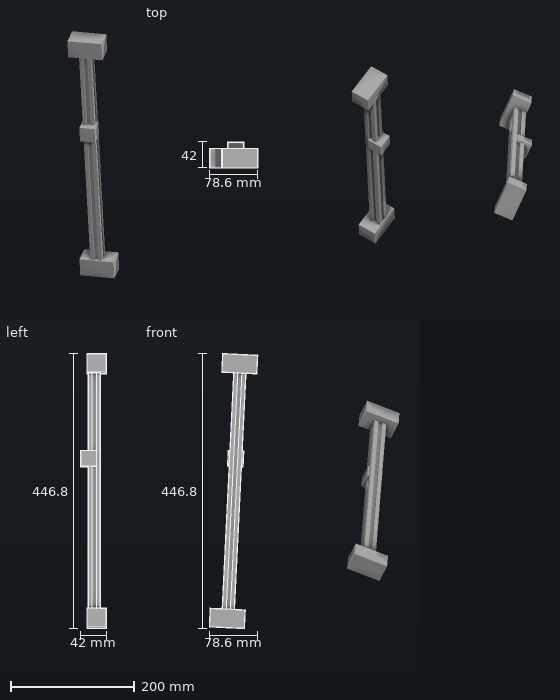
import cadquery as cq

tilt = 2.8
total_length = 444.5
block_width = 57.0
block_depth = 31.7
block_height = 30.5
block_offset_x = -1.0
block_offset_y = -4.0
rail_size = 20.0
groove_depth = 3.5
slider_size = 25.5
slider_height = 52.7

groove_width = rail_size / 3
rail_length = total_length - 2 * block_height
block_center_height = (total_length - block_height) / 2
slider_offset = (slider_size - groove_width) / 2


def lean(body):
    """Tilt an upright body about the Y axis through mid-length."""
    return body.rotate((0, 0, 0), (0, 1, 0), tilt)


def make_rail():
    """Square rail with a groove along the middle of each side."""
    rail = cq.Workplane("XY").box(rail_size, rail_size, rail_length)
    groove_center = (rail_size - groove_depth) / 2
    groove = cq.Workplane("XY").box(groove_depth, groove_width, rail_length)
    groove = groove.translate((groove_center, 0, 0))
    for quarter in range(4):
        rail = rail.cut(groove.rotate((0, 0, 0), (0, 0, 1), quarter * 90))
    return rail


def make_end_block(side):
    """End block closing the rail; side is +1 for the top, -1 for the bottom."""
    block = cq.Workplane("XY").box(block_width, block_depth, block_height)
    return block.translate((block_offset_x, block_offset_y, side * block_center_height))


def make_slider(rail):
    """Cube on the +Y side of the rail, cut out to fit the rail section."""
    cube = cq.Workplane("XY").box(slider_size, slider_size, slider_size)
    return cube.translate((0, slider_offset, slider_height)).cut(rail)


upright_rail = make_rail()
rail = lean(upright_rail)
slider = lean(make_slider(upright_rail))
end_blocks = [lean(make_end_block(side)) for side in (-1, 1)]

result = cq.Compound.makeCompound(
    [rail.val(), slider.val(), *[block.val() for block in end_blocks]]
)